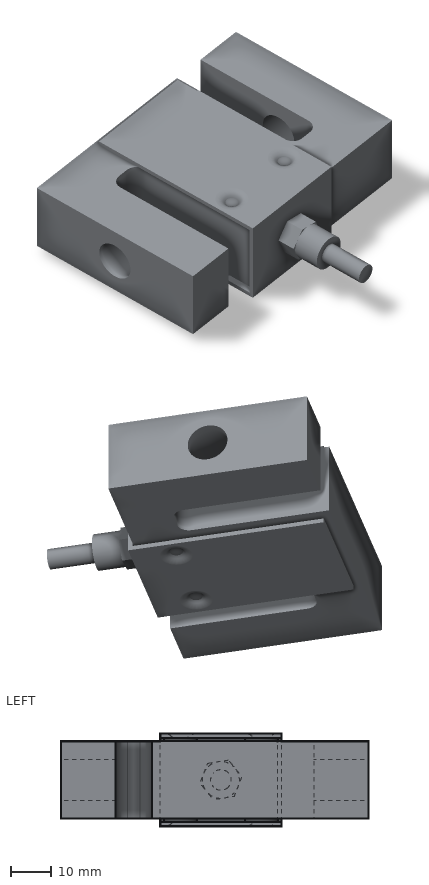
import cadquery as cq
import math

block_length = 50.75
block_width = 76.2
block_height = 19.2
arm_width = 13.6
slot_width = 9.0
slot_depth = 38.1
slot_corner_radius = 3.0
mounting_hole_diameter = 10.1

cover_thickness = 1.15
cover_gap = 0.8
cover_start = 1.9
cover_width = 30.1
cover_center_y = -1.5
cover_end = block_length + cover_thickness
cover_inner_height = block_height + 2 * cover_gap
cover_outer_height = cover_inner_height + 2 * cover_thickness

pad_diameter = 8.15
pad_x = 40.85
pad_spacing = 20.05
pad_centers = [(pad_x, cover_center_y + side * pad_spacing / 2) for side in (-1, 1)]
flare_throat_diameter = 4.5
flare_depth = 0.7
hole_floor_diameter = 3.3

nut_length = 4.9
nut_corner_diameter = 10.5
nut_corner_angle = 51.0
sleeve_length = 7.0
sleeve_diameter = 9.15
cable_diameter = 5.1
overall_length = 75.8
nut_end = cover_end + nut_length
sleeve_end = nut_end + sleeve_length


def cutting_slot(direction):
    """Slot on the +Y (direction 1) or -Y (-1) side, open at the left or right face respectively."""
    center_x = slot_depth / 2 if direction > 0 else block_length - slot_depth / 2
    center_y = direction * (block_width / 2 - arm_width - slot_width / 2)
    closed_end = ">X" if direction > 0 else "<X"
    return (
        cq.Workplane("XY")
        .box(slot_depth, slot_width, block_height)
        .edges("|Z")
        .edges(closed_end)
        .fillet(slot_corner_radius)
        .translate((center_x, center_y, 0))
    )


def mounting_hole(direction):
    """Round hole through one arm, along Y, from its outer face to its slot."""
    hole = cq.Workplane("XZ").center(block_length / 2, 0).circle(mounting_hole_diameter / 2)
    return hole.extrude(arm_width / 2, both=True).translate((0, direction * (block_width - arm_width) / 2, 0))


def make_block():
    block = cq.Workplane("XY").box(block_length, block_width, block_height).translate((block_length / 2, 0, 0))
    for direction in (-1, 1):
        block = block.cut(cutting_slot(direction)).cut(mounting_hole(direction))
    for face_z, height in ((block_height / 2, cover_gap), (-block_height / 2, -cover_gap)):
        pads = cq.Workplane("XY", origin=(0, 0, face_z)).pushPoints(pad_centers)
        block = block.union(pads.circle(pad_diameter / 2).extrude(height))
    return block


def flared_hole():
    """Hole through the top wall at X = Y = 0: a rounded lip running into a cone."""
    rim_radius = pad_diameter / 2
    throat_radius = flare_throat_diameter / 2
    floor_radius = hole_floor_diameter / 2
    top = cover_outer_height / 2
    run = rim_radius - throat_radius
    lip_radius = (run**2 + flare_depth**2) / (2 * flare_depth)
    middle_angle = math.asin(run / lip_radius) / 2
    lip_middle = (
        rim_radius - lip_radius * math.sin(middle_angle),
        top - lip_radius * (1 - math.cos(middle_angle)),
    )
    return (
        cq.Workplane("XZ")
        .moveTo(0, top)
        .lineTo(rim_radius, top)
        .threePointArc(lip_middle, (throat_radius, top - flare_depth))
        .lineTo(floor_radius, top - cover_thickness)
        .lineTo(0, top - cover_thickness)
        .close()
        .revolve(360, (0, 0, 0), (0, 1, 0))
    )


def make_cover():
    outer = cq.Workplane("XY").box(cover_end - cover_start, cover_width, cover_outer_height)
    outer = outer.translate(((cover_start + cover_end) / 2, cover_center_y, 0))
    inner = cq.Workplane("XY").box(block_length - cover_start, cover_width, cover_inner_height)
    inner = inner.translate(((cover_start + block_length) / 2, cover_center_y, 0))
    cover = outer.cut(inner)
    for x, y in pad_centers:
        top_hole = flared_hole()
        bottom_hole = top_hole.mirror("XY")
        cover = cover.cut(top_hole.translate((x, y, 0))).cut(bottom_hole.translate((x, y, 0)))
    return cover


def gland_plane(x):
    """Plane across the gland axis at the given X, facing +X."""
    return cq.Workplane("YZ", origin=(x, cover_center_y, 0))


def make_nut():
    nut = gland_plane(cover_end).polygon(6, nut_corner_diameter).extrude(nut_length)
    axis_start = (cover_end, cover_center_y, 0)
    axis_end = (nut_end, cover_center_y, 0)
    return nut.rotate(axis_start, axis_end, nut_corner_angle)


def make_sleeve():
    return gland_plane(nut_end).circle(sleeve_diameter / 2).extrude(sleeve_length)


def make_cable():
    return gland_plane(sleeve_end).circle(cable_diameter / 2).extrude(overall_length - sleeve_end)


block = make_block()
cover = make_cover()
nut = make_nut()
sleeve = make_sleeve()
cable = make_cable()

result = cq.Compound.makeCompound([block.val(), cover.val(), nut.val(), sleeve.val(), cable.val()])